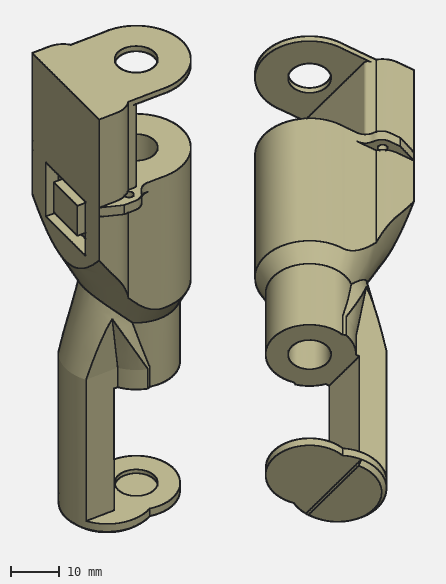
import cadquery as cq
import math


total_height = 113.0
top_plate_thickness = 1.4
body_top = 90.1
body_bottom = 51.6
tube_bottom = 34.6
strut_start = 39.7
strut_end = 62.0
foot_top = 3.0
pad_height = 1.0

front_y = -17.0
body_radius = 11.19
flat_start_y = -1.0
flat_half_width = math.sqrt(body_radius**2 - flat_start_y**2)
front_half_width = 13.0
flare_start_y = front_y + 8.2
flare_end_y = front_y + 4.15
wall_back_y = front_y + 10.55
wall_edge_radius = 1.0

tube_radius = 9.0
cone_slope = 0.5

disc_radius = 10.0
disc_y = front_y + disc_radius
arm_half_width = 5.4
arm_back_y = front_y + 8.35
strut_taper = 0.22
flank_spread = 0.068
clearance_radius = 9.5
clearance_spread = 0.15

pad_back_y = front_y + 11.0
pad_chamfer = 1.0

pin_diameter = 8.8
pin_seat_depth = 1.0

ear_thickness = 2.4
ear_half_width = 14.955
ear_root_x = 9.0
ear_root_y = front_y + 12.9
ear_shoulder_y = front_y + 7.45
ear_corner_y = front_y + 4.8
ear_hole_x = 12.5
ear_hole_y = front_y + 7.5
ear_hole_diameter = 2.0

window_width = 15.3
window_height = 14.0
window_center_z = 81.1
window_depth = 3.0
block_width = 9.2
block_height = 7.8


def cylinder(radius, y, z_low, z_high):
    return cq.Workplane("XY", origin=(0, y, z_low)).circle(radius).extrude(z_high - z_low)


def box(half_width, y_low, y_high, z_low, z_high):
    return (
        cq.Workplane("XY", origin=(0, 0, z_low))
        .moveTo(-half_width, y_low)
        .lineTo(half_width, y_low)
        .lineTo(half_width, y_high)
        .lineTo(-half_width, y_high)
        .close()
        .extrude(z_high - z_low)
    )


def frustum(radius, slope, y, z_low, z_high):
    """Cone about a vertical axis whose radius grows by slope per unit of height."""
    height = z_high - z_low
    solid = cq.Solid.makeCone(radius, radius + slope * height, height, pnt=cq.Vector(0, y, z_low))
    return cq.Workplane(obj=solid)


def flare_middle():
    """Midpoint of the arc that leaves the front flank along Y and ends on the side flat."""
    run = flare_start_y - flare_end_y
    inset = front_half_width - flat_half_width
    radius = (run**2 + inset**2) / (2 * inset)
    half_angle = math.asin(run / radius) / 2
    x = front_half_width - radius * (1 - math.cos(half_angle))
    y = flare_end_y + radius * math.sin(half_angle)
    return x, y


def body_prism():
    """Rounded back, straight sides and flared front over the whole upper height."""
    middle_x, middle_y = flare_middle()
    return (
        cq.Workplane("XY", origin=(0, 0, body_bottom))
        .moveTo(-front_half_width, front_y)
        .lineTo(front_half_width, front_y)
        .lineTo(front_half_width, flare_end_y)
        .threePointArc((middle_x, middle_y), (flat_half_width, flare_start_y))
        .lineTo(flat_half_width, flat_start_y)
        .threePointArc((0, body_radius), (-flat_half_width, flat_start_y))
        .lineTo(-flat_half_width, flare_start_y)
        .threePointArc((-middle_x, middle_y), (-front_half_width, flare_end_y))
        .lineTo(-front_half_width, front_y)
        .close()
        .extrude(total_height - body_bottom)
    )


def upper_gap():
    """Space between the top plate and the body, with the wall's rear edges rounded."""
    gap_top = total_height - top_plate_thickness
    gap = box(front_half_width, wall_back_y - wall_edge_radius, body_radius, body_top, gap_top)
    wall = box(flat_half_width, front_y, wall_back_y, body_top, gap_top)
    wall = wall.edges("|Z and >Y").fillet(wall_edge_radius)
    return gap.cut(wall)


def upper_body():
    trim = frustum(tube_radius, cone_slope, 0, body_bottom, total_height)
    return body_prism().intersect(trim).cut(upper_gap())


def ear_curve():
    """Inflection and arc midpoints of the S-curve joining the side flat to the ear's outer edge."""
    width = ear_half_width - flat_half_width
    length = ear_root_y - ear_shoulder_y
    radius = (width**2 + length**2) / (4 * width)
    half_angle = math.asin(length / (2 * radius)) / 2
    offset_x = radius * (1 - math.cos(half_angle))
    offset_y = radius * math.sin(half_angle)
    inner = (flat_half_width + offset_x, ear_root_y - offset_y)
    inflection = (flat_half_width + width / 2, ear_root_y - length / 2)
    outer = (ear_half_width - offset_x, ear_shoulder_y + offset_y)
    return inner, inflection, outer


def ear():
    inner, inflection, outer = ear_curve()
    return (
        cq.Workplane("XY", origin=(0, 0, body_top - ear_thickness))
        .moveTo(ear_root_x, front_y)
        .lineTo(front_half_width, front_y)
        .lineTo(ear_half_width, ear_corner_y)
        .lineTo(ear_half_width, ear_shoulder_y)
        .threePointArc(outer, inflection)
        .threePointArc(inner, (flat_half_width, ear_root_y))
        .lineTo(ear_root_x, ear_root_y)
        .close()
        .extrude(ear_thickness)
    )


def ear_hole():
    return (
        cq.Workplane("XY", origin=(ear_hole_x, ear_hole_y, body_top - ear_thickness))
        .circle(ear_hole_diameter / 2)
        .extrude(ear_thickness)
    )


def window():
    return (
        cq.Workplane("XZ", origin=(0, front_y, window_center_z))
        .rect(window_width, window_height)
        .rect(block_width, block_height)
        .extrude(-window_depth)
    )


def flank_strip():
    """Band the arm occupies, widening upwards along the strut."""
    spread_half_width = arm_half_width + flank_spread * (strut_end - strut_start)
    return (
        cq.Workplane("XZ", origin=(0, front_y, 0))
        .moveTo(-arm_half_width, tube_bottom)
        .lineTo(arm_half_width, tube_bottom)
        .lineTo(arm_half_width, strut_start)
        .lineTo(spread_half_width, strut_end)
        .lineTo(-spread_half_width, strut_end)
        .lineTo(-arm_half_width, strut_start)
        .close()
        .extrude(-2 * disc_radius)
    )


def strut():
    """Disc and tapering cone under the body, relieved on both flanks of the arm."""
    disc = cylinder(disc_radius, disc_y, tube_bottom, strut_start)
    cone = frustum(disc_radius, -strut_taper, disc_y, strut_start, strut_end)
    clearance = cylinder(clearance_radius, 0, tube_bottom, strut_start)
    clearance = clearance.union(frustum(clearance_radius, clearance_spread, 0, strut_start, strut_end))
    return disc.union(cone).intersect(flank_strip().union(clearance))


def arm():
    strip = box(arm_half_width, front_y, arm_back_y, pad_height, strut_start)
    return strip.intersect(cylinder(disc_radius, disc_y, pad_height, strut_start))


def foot():
    """Two overlapping discs on a chamfered half-disc pad, with a blind pin seat."""
    plate = cylinder(tube_radius, 0, pad_height, foot_top)
    plate = plate.union(cylinder(disc_radius, disc_y, pad_height, foot_top))
    pad = frustum(disc_radius - pad_chamfer, pad_chamfer / pad_height, disc_y, 0, pad_height)
    pad = pad.intersect(box(disc_radius, front_y, pad_back_y, 0, pad_height))
    seat = cylinder(pin_diameter / 2, 0, foot_top - pin_seat_depth, foot_top)
    return plate.union(pad).cut(seat)


tube = cylinder(tube_radius, 0, tube_bottom, body_bottom)
pin_bore = cylinder(pin_diameter / 2, 0, tube_bottom, total_height)

result = upper_body().union(tube).union(strut())
result = result.union(ear()).union(ear().mirror("YZ"))
result = result.cut(ear_hole()).cut(ear_hole().mirror("YZ"))
result = result.cut(window()).cut(pin_bore)
result = result.union(arm()).union(foot())